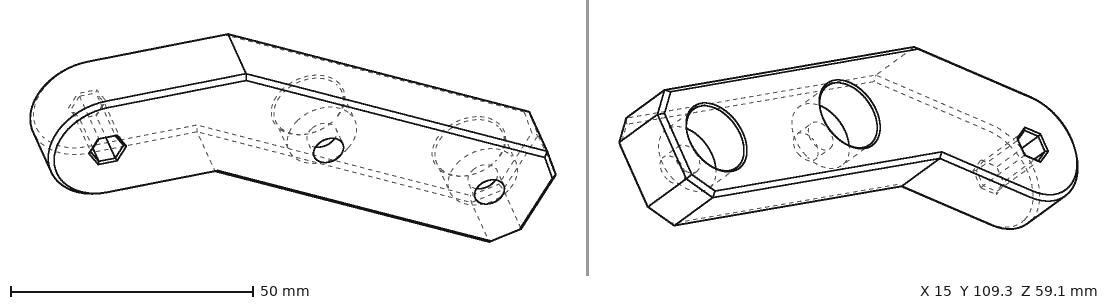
import cadquery as cq
import math

overall_length = 109.3
thickness = 15.0
arm_width = 25.0
arm_slope = math.radians(30)
edge_chamfer = 1.0
end_corner_cut = 5.0
bend_to_first_hole = 24.0
hole_spacing = 40.0
hole_diameter = 6.5
bore_diameter = 15.0
bore_depth = 9.9
hex_across_flats = 6.1
mouth_chamfer = 0.4

half_width = arm_width / 2
arm_length = bend_to_first_hole + hole_spacing + half_width
sloped_reach = arm_length * math.cos(arm_slope) + (half_width - end_corner_cut) * math.sin(arm_slope)
bend_y = overall_length - half_width - sloped_reach
miter_offset = half_width * math.tan(arm_slope / 2)


def arm_point(along, across):
    """Return (Y, Z) of a point measured from the bend along and across the sloped arm."""
    y = bend_y + along * math.cos(arm_slope) + across * math.sin(arm_slope)
    z = -along * math.sin(arm_slope) + across * math.cos(arm_slope)
    return y, z


def make_body():
    """Bent bar with a round end, a corner-cut end and chamfered rims."""
    outline = (
        cq.Workplane("YZ")
        .moveTo(0, half_width)
        .lineTo(bend_y + miter_offset, half_width)
        .lineTo(*arm_point(arm_length - end_corner_cut, half_width))
        .lineTo(*arm_point(arm_length, half_width - end_corner_cut))
        .lineTo(*arm_point(arm_length, end_corner_cut - half_width))
        .lineTo(*arm_point(arm_length - end_corner_cut, -half_width))
        .lineTo(bend_y - miter_offset, -half_width)
        .lineTo(0, -half_width)
        .threePointArc((-half_width, 0), (0, half_width))
        .close()
    )
    return outline.extrude(thickness).faces("<X or >X").chamfer(edge_chamfer)


def counterbored_hole(along):
    """Cutter for a through hole with a chamfered bore from the -X face."""
    center = arm_point(along, 0)
    plane = cq.Workplane("YZ").center(*center)
    hole = plane.circle(hole_diameter / 2).extrude(thickness)
    bore = plane.circle(bore_diameter / 2).extrude(bore_depth)
    mouth = (
        plane.circle(bore_diameter / 2 + mouth_chamfer)
        .workplane(offset=mouth_chamfer)
        .circle(bore_diameter / 2)
        .loft()
    )
    return hole.union(bore).union(mouth)


def hex_hole():
    """Cutter for the through hexagon, chamfered at both faces."""
    corner_diameter = hex_across_flats / math.cos(math.pi / 6)
    mouth_diameter = (hex_across_flats + 2 * mouth_chamfer) / math.cos(math.pi / 6)
    cutter = cq.Workplane("YZ").polygon(6, corner_diameter).extrude(thickness)
    for face_x, inward in ((0, 1), (thickness, -1)):
        mouth = (
            cq.Workplane("YZ", origin=(face_x, 0, 0))
            .polygon(6, mouth_diameter)
            .workplane(offset=inward * mouth_chamfer)
            .polygon(6, corner_diameter)
            .loft()
        )
        cutter = cutter.union(mouth)
    return cutter


result = make_body().cut(hex_hole())
for hole_number in range(2):
    result = result.cut(counterbored_hole(bend_to_first_hole + hole_number * hole_spacing))